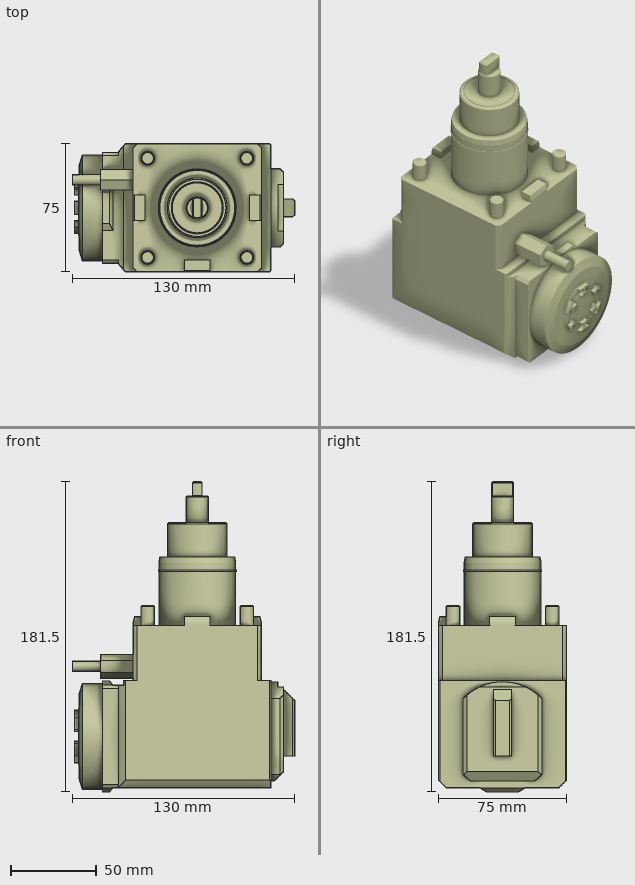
import cadquery as cq
import math

SPINDLE_Z = -65.0

HOUSING_WIDTH = 75.0
HALF_WIDTH = HOUSING_WIDTH / 2
UPPER_HEIGHT = 32.2
UPPER_CORNER_CHAMFER = 2.4
LOWER_BACK_X = 43.0
LOWER_BACK_CHAMFER = 0.8
BASE_Z = -95.0
BASE_CHAMFER = 4.6
STEP_X = -43.0
BEVEL_START_X = -42.0
BEVEL_END_HALF_WIDTH = HALF_WIDTH - BASE_CHAMFER
PLATE_BACK_X = -46.0
PLATE_FRONT_X = -55.5
PLATE_TOP_Z = -35.0
PLATE_HALF_WIDTH = 32.5
PLATE_CORNER_CHAMFER = 1.9

PAD_RISE = 2.5
PAD_LENGTH = 6.2
PAD_SLOPE_LENGTH = 2.0
PAD_HALF_WIDTH = 13.2
PAD_SIDE_SLOPE = 4.0

DISC_RADIUS = 31.0
DISC_SHOULDER_X = -67.2
DISC_FACE_RADIUS = 25.0
DISC_FACE_X = -69.0
BOSS_RADIUS = 16.0
BOSS_HEIGHT = 0.4
RING_OUTER_RADIUS = 15.6
RING_INNER_RADIUS = 10.4
TOOTH_HEIGHT = 2.4
TOOTH_COUNT = 6
SLOT_DEPTH_IN_BOSS = 0.2
SLOT_HALF_ANGLE = 15.5

SLEEVE_RADIUS = 22.5
SLEEVE_TOP_Z = 40.0
SLEEVE_TAPER_HEIGHT = 3.3
SLEEVE_TOP_RADIUS = 21.9
SEAL_RADIUS = 22.8
SEAL_Z = 31.9
SEAL_THICKNESS = 0.7
COLLAR_RADIUS = 17.5
COLLAR_TOP_Z = 60.0
COLLAR_CHAMFER = 0.8
COLLAR_GROOVE_RADIUS = 14.9
COLLAR_GROOVE_WIDTH = 0.6
COLLAR_GROOVE_DEPTH = 0.5
STEM_RADIUS = 6.5
STEM_TOP_Z = 75.5
TANG_TOP_Z = 84.0
TANG_THICKNESS = 5.8
STEM_CHAMFER = 0.5
TANG_CHAMFER = 0.8

SCREW_OFFSET = 29.0
SCREW_RADIUS = 4.0
SCREW_HEIGHT = 11.5
SCREW_CHAMFER = 0.6
KEY_LENGTH = 15.0
KEY_HEIGHT = 5.0
KEY_WIDTH = 7.0
KEY_STRAIGHT_HEIGHT = 1.6
KEY_TAPER = 0.8

FITTING_Y = 16.4
FITTING_Z = -24.0
FITTING_FRONT_X = -56.5
FITTING_ACROSS_CORNERS = 14.0
PIPE_FRONT_X = -73.0
PIPE_RADIUS = 3.0

COVER_BACK_X = 50.5
COVER_RADIUS = 32.0
COVER_HALF_WIDTH = 23.0
COVER_SIDE_CHAMFER = 2.2
COVER_BOTTOM_Z = -91.0
COVER_BOTTOM_CHAMFER = 5.5
COVER_NOTCH_X = 47.2
COVER_NOTCH_Z = -36.0
LUG_BACK_X = 57.0
LUG_WIDTH = 10.6
LUG_TOP_Z = -37.5
LUG_BOTTOM_Z = -76.5
LUG_TOP_CHAMFER = LUG_BACK_X - COVER_BACK_X
LUG_EDGE_CHAMFER = 1.2

OVERLAP = 1.0


def box(x0, x1, y0, y1, z0, z1):
    return cq.Workplane("XY").box(x1 - x0, y1 - y0, z1 - z0, centered=False).translate((x0, y0, z0))


def z_cylinder(radius, z0, z1):
    return cq.Workplane("XY").workplane(offset=z0).circle(radius).extrude(z1 - z0)


def x_cylinder(radius, x0, x1, y=0.0, z=SPINDLE_Z):
    return cq.Workplane("YZ", origin=(x0, y, z)).circle(radius).extrude(x1 - x0)


def make_lower_block():
    """Plan outline with the front bevels, cut by the base chamfers and the front step."""
    half_plan = [
        (LOWER_BACK_X, HALF_WIDTH - LOWER_BACK_CHAMFER),
        (LOWER_BACK_X - LOWER_BACK_CHAMFER, HALF_WIDTH),
        (BEVEL_START_X, HALF_WIDTH),
        (PLATE_BACK_X, BEVEL_END_HALF_WIDTH),
    ]
    plan = half_plan + [(x, -y) for x, y in reversed(half_plan)]
    block = cq.Workplane("XY").workplane(offset=BASE_Z).polyline(plan).close()
    block = block.extrude(-UPPER_HEIGHT - BASE_Z)
    section = [
        (-HALF_WIDTH, -UPPER_HEIGHT),
        (-HALF_WIDTH, BASE_Z + BASE_CHAMFER),
        (BASE_CHAMFER - HALF_WIDTH, BASE_Z),
        (HALF_WIDTH - BASE_CHAMFER, BASE_Z),
        (HALF_WIDTH, BASE_Z + BASE_CHAMFER),
        (HALF_WIDTH, -UPPER_HEIGHT),
    ]
    envelope = cq.Workplane("YZ", origin=(PLATE_BACK_X, 0, 0)).polyline(section).close()
    block = block.intersect(envelope.extrude(LOWER_BACK_X - PLATE_BACK_X))
    return block.cut(box(PLATE_BACK_X, STEP_X, -HALF_WIDTH, HALF_WIDTH, PLATE_TOP_Z, 0))


def make_upper_block():
    block = box(-HALF_WIDTH, HALF_WIDTH, -HALF_WIDTH, HALF_WIDTH, -UPPER_HEIGHT, 0)
    return block.edges("|Z").chamfer(UPPER_CORNER_CHAMFER)


def make_front_plate():
    plate = box(PLATE_FRONT_X, PLATE_BACK_X, -PLATE_HALF_WIDTH, PLATE_HALF_WIDTH, BASE_Z, PLATE_TOP_Z)
    plate = plate.edges("|X").chamfer(PLATE_CORNER_CHAMFER)
    return plate.union(make_pad(PLATE_TOP_Z, 1)).union(make_pad(BASE_Z, -1))


def make_pad(base_z, direction):
    """Pad sloping down at its sides and its back; direction is 1 upward, -1 downward."""
    sunk_z = base_z - direction * OVERLAP
    raised_z = base_z + direction * PAD_RISE
    back_x = PLATE_FRONT_X + PAD_LENGTH
    side = [
        (PLATE_FRONT_X, sunk_z),
        (PLATE_FRONT_X, raised_z),
        (back_x - PAD_SLOPE_LENGTH, raised_z),
        (back_x, base_z),
        (back_x, sunk_z),
    ]
    front = [
        (-PAD_HALF_WIDTH, sunk_z),
        (-PAD_HALF_WIDTH, base_z),
        (-PAD_HALF_WIDTH + PAD_SIDE_SLOPE, raised_z),
        (PAD_HALF_WIDTH - PAD_SIDE_SLOPE, raised_z),
        (PAD_HALF_WIDTH, base_z),
        (PAD_HALF_WIDTH, sunk_z),
    ]
    along_y = cq.Workplane("XZ").polyline(side).close().extrude(PAD_HALF_WIDTH, both=True)
    along_x = cq.Workplane("YZ", origin=(PLATE_FRONT_X, 0, 0)).polyline(front).close()
    return along_y.intersect(along_x.extrude(PAD_LENGTH))


def make_arc_slot(x0, x1, middle_angle):
    """Arc slot as wide as the tooth ring, centred at middle_angle degrees, with round ends."""
    end_radius = (RING_OUTER_RADIUS - RING_INNER_RADIUS) / 2
    middle_radius = RING_INNER_RADIUS + end_radius
    first = middle_angle - SLOT_HALF_ANGLE
    last = middle_angle + SLOT_HALF_ANGLE

    def at(radius, degrees):
        angle = math.radians(degrees)
        return radius * math.cos(angle), radius * math.sin(angle)

    slot = (
        cq.Workplane("YZ", origin=(x0, 0, SPINDLE_Z))
        .moveTo(*at(RING_INNER_RADIUS, first))
        .threePointArc(at(RING_INNER_RADIUS, middle_angle), at(RING_INNER_RADIUS, last))
        .lineTo(*at(RING_OUTER_RADIUS, last))
        .threePointArc(at(RING_OUTER_RADIUS, middle_angle), at(RING_OUTER_RADIUS, first))
        .close()
        .extrude(x1 - x0)
    )
    for end in (first, last):
        y, z = at(middle_radius, end)
        slot = slot.union(x_cylinder(end_radius, x0, x1, y, SPINDLE_Z + z))
    return slot


def make_tooth_ring():
    """Ring on a low boss; arc slots cut through the ring leave its teeth and mark the boss."""
    boss_x = DISC_FACE_X - BOSS_HEIGHT
    tooth_x = boss_x - TOOTH_HEIGHT
    ring = x_cylinder(RING_OUTER_RADIUS, tooth_x, boss_x)
    ring = ring.cut(x_cylinder(RING_INNER_RADIUS, tooth_x, boss_x))
    ring = ring.union(x_cylinder(BOSS_RADIUS, boss_x, DISC_FACE_X + OVERLAP))
    for index in range(TOOTH_COUNT):
        middle_angle = index * 360 / TOOTH_COUNT
        ring = ring.cut(make_arc_slot(tooth_x, boss_x + SLOT_DEPTH_IN_BOSS, middle_angle))
    return ring


def make_spindle_disc():
    half_section = [
        (PLATE_FRONT_X + OVERLAP, SPINDLE_Z),
        (PLATE_FRONT_X + OVERLAP, SPINDLE_Z + DISC_FACE_RADIUS),
        (PLATE_FRONT_X, SPINDLE_Z + DISC_FACE_RADIUS),
        (PLATE_FRONT_X, SPINDLE_Z + DISC_RADIUS),
        (DISC_SHOULDER_X, SPINDLE_Z + DISC_RADIUS),
        (DISC_FACE_X, SPINDLE_Z + DISC_FACE_RADIUS),
        (DISC_FACE_X, SPINDLE_Z),
    ]
    disc = cq.Workplane("XZ").polyline(half_section).close()
    disc = disc.revolve(360, (0, SPINDLE_Z, 0), (1, SPINDLE_Z, 0))
    return disc.union(make_tooth_ring())


def make_shaft():
    """Stepped shaft; equal chamfers on stem and tang meet in a V-shaped neck between them."""
    half_section = [
        (0, -OVERLAP),
        (SLEEVE_RADIUS, -OVERLAP),
        (SLEEVE_RADIUS, SEAL_Z - SEAL_THICKNESS / 2),
        (SEAL_RADIUS, SEAL_Z - SEAL_THICKNESS / 2),
        (SEAL_RADIUS, SEAL_Z + SEAL_THICKNESS / 2),
        (SLEEVE_RADIUS, SEAL_Z + SEAL_THICKNESS / 2),
        (SLEEVE_RADIUS, SLEEVE_TOP_Z - SLEEVE_TAPER_HEIGHT),
        (SLEEVE_TOP_RADIUS, SLEEVE_TOP_Z),
        (COLLAR_RADIUS, SLEEVE_TOP_Z),
        (COLLAR_RADIUS, COLLAR_TOP_Z - COLLAR_CHAMFER),
        (COLLAR_RADIUS - COLLAR_CHAMFER, COLLAR_TOP_Z),
        (0, COLLAR_TOP_Z),
    ]
    shaft = cq.Workplane("XZ").polyline(half_section).close().revolve(360, (0, 0, 0), (0, 1, 0))
    groove_floor_z = COLLAR_TOP_Z - COLLAR_GROOVE_DEPTH
    groove = z_cylinder(COLLAR_GROOVE_RADIUS + COLLAR_GROOVE_WIDTH / 2, groove_floor_z, COLLAR_TOP_Z)
    core = z_cylinder(COLLAR_GROOVE_RADIUS - COLLAR_GROOVE_WIDTH / 2, groove_floor_z, COLLAR_TOP_Z)
    groove = groove.cut(core)
    stem = z_cylinder(STEM_RADIUS, COLLAR_TOP_Z - OVERLAP, STEM_TOP_Z).faces(">Z").chamfer(STEM_CHAMFER)
    tang = z_cylinder(STEM_RADIUS, STEM_TOP_Z, TANG_TOP_Z).faces("<Z").chamfer(STEM_CHAMFER)
    half_tang = TANG_THICKNESS / 2
    tang = tang.intersect(box(-half_tang, half_tang, -STEM_RADIUS, STEM_RADIUS, 0, TANG_TOP_Z))
    tang = tang.faces(">Z").chamfer(TANG_CHAMFER)
    return shaft.cut(groove).union(stem).union(tang)


def make_screw(x, y):
    screw = z_cylinder(SCREW_RADIUS, -OVERLAP, SCREW_HEIGHT).faces(">Z").chamfer(SCREW_CHAMFER)
    return screw.translate((x, y, 0))


def make_key(degrees):
    """Key at the edge of the mounting face; its outer side leans inward above a straight foot."""
    inner_x = HALF_WIDTH - KEY_WIDTH
    section = [
        (inner_x, -OVERLAP),
        (HALF_WIDTH, -OVERLAP),
        (HALF_WIDTH, KEY_STRAIGHT_HEIGHT),
        (HALF_WIDTH - KEY_TAPER, KEY_HEIGHT),
        (inner_x, KEY_HEIGHT),
    ]
    key = cq.Workplane("XZ").polyline(section).close().extrude(KEY_LENGTH / 2, both=True)
    return key.rotate((0, 0, 0), (0, 0, 1), degrees)


def make_fitting():
    wall_x = -HALF_WIDTH + OVERLAP
    hexagon = (
        cq.Workplane("YZ", origin=(FITTING_FRONT_X, FITTING_Y, FITTING_Z))
        .transformed(rotate=(0, 0, 90))
        .polygon(6, FITTING_ACROSS_CORNERS)
        .extrude(wall_x - FITTING_FRONT_X)
    )
    return hexagon.union(x_cylinder(PIPE_RADIUS, PIPE_FRONT_X, wall_x, FITTING_Y, FITTING_Z))


def make_cover():
    front_x = LOWER_BACK_X - OVERLAP
    top_z = SPINDLE_Z + COVER_RADIUS
    blank = box(front_x, COVER_BACK_X, -COVER_HALF_WIDTH, COVER_HALF_WIDTH, COVER_BOTTOM_Z, top_z)
    blank = blank.edges(">X and |Z").chamfer(COVER_SIDE_CHAMFER)
    blank = blank.edges("<Z").edges(">X").chamfer(COVER_BOTTOM_CHAMFER)
    cover = blank.intersect(x_cylinder(COVER_RADIUS, front_x, COVER_BACK_X))
    notch = box(COVER_NOTCH_X, COVER_BACK_X, -COVER_HALF_WIDTH, COVER_HALF_WIDTH, COVER_NOTCH_Z, top_z)
    return cover.cut(notch)


def make_lug():
    half = LUG_WIDTH / 2
    lug = box(COVER_BACK_X - OVERLAP, LUG_BACK_X, -half, half, LUG_BOTTOM_Z, LUG_TOP_Z)
    lug = lug.edges(">X and |Z").chamfer(LUG_EDGE_CHAMFER)
    slope = [
        (COVER_BACK_X, LUG_TOP_Z),
        (LUG_BACK_X, LUG_TOP_Z),
        (LUG_BACK_X, LUG_TOP_Z - LUG_TOP_CHAMFER),
    ]
    return lug.cut(cq.Workplane("XZ").polyline(slope).close().extrude(half, both=True))


result = make_lower_block().union(make_upper_block()).union(make_front_plate())
result = result.union(make_spindle_disc()).union(make_shaft()).union(make_fitting())
result = result.union(make_cover()).union(make_lug())
for screw_x in (-SCREW_OFFSET, SCREW_OFFSET):
    for screw_y in (-SCREW_OFFSET, SCREW_OFFSET):
        result = result.union(make_screw(screw_x, screw_y))
for key_angle in (0, 180, 270):
    result = result.union(make_key(key_angle))